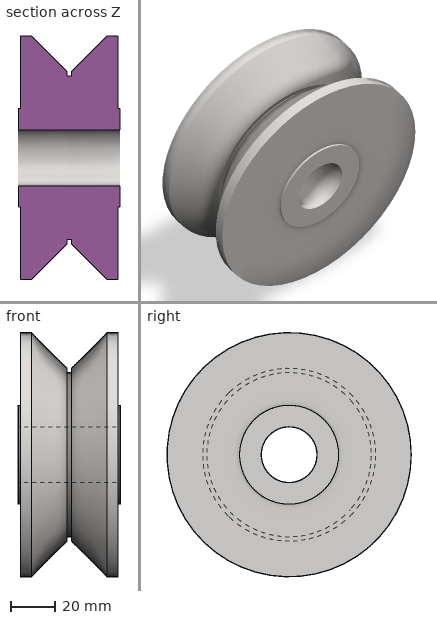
import cadquery as cq

wheel_diameter = 110.0
rim_width = 44.0
overall_width = 46.0
hub_diameter = 44.5
bore_diameter = 25.0
rim_land = 5.0
relief_width = 2.0
relief_diameter = 74.0

wheel_radius = wheel_diameter / 2
half_rim = rim_width / 2
half_relief = relief_width / 2
groove_half_width = half_rim - rim_land
v_bottom_radius = wheel_radius - (groove_half_width - half_relief)
relief_radius = relief_diameter / 2


def x_cylinder(diameter, length):
    """Cylinder on the X axis, centred on the origin."""
    return cq.Workplane("YZ").circle(diameter / 2).extrude(length / 2, both=True)


def grooved_rim():
    """Wheel body with a 45 degree V groove and a relief slot, revolved about X."""
    profile = [
        (-half_rim, 0),
        (-half_rim, wheel_radius),
        (-groove_half_width, wheel_radius),
        (-half_relief, v_bottom_radius),
        (-half_relief, relief_radius),
        (half_relief, relief_radius),
        (half_relief, v_bottom_radius),
        (groove_half_width, wheel_radius),
        (half_rim, wheel_radius),
        (half_rim, 0),
    ]
    return cq.Workplane("XY").polyline(profile).close().revolve(360, (0, 0, 0), (1, 0, 0))


hub = x_cylinder(hub_diameter, overall_width)
bore = x_cylinder(bore_diameter, overall_width)
result = grooved_rim().union(hub).cut(bore)